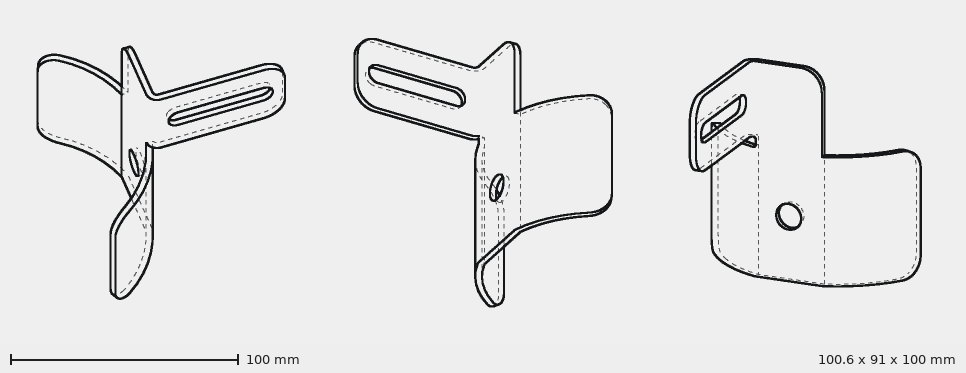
import cadquery as cq
import math

sheet = 3.0
total_height = 100.0
corner_radius = 10.0

plate_half_width = 15.9
hole_diameter = 12.0
hole_height = 30.0

wing_height = 60.0
wing_half_span = 50.3
wing_outer_radius = 55.4
wing_inner_radius = wing_outer_radius - sheet
wing_axis_y = -sheet - math.sqrt(wing_inner_radius**2 - plate_half_width**2)
root_angle = math.acos(plate_half_width / wing_inner_radius)
tip_angle = math.acos(wing_half_span / wing_outer_radius)

flange_reach = 60.0
flange_height = 35.0
bend_inner_radius = 2.0
bend_outer_radius = bend_inner_radius + sheet
slot_length = 48.6
slot_width = 9.1
slot_center_y = flange_reach / 2

flange_bottom = total_height - flange_height
relief_height = flange_bottom - wing_height
relief_radius = 1.2


def wing_point(radius, angle):
    """Point at a polar position about the wing axis."""
    return (radius * math.cos(angle), wing_axis_y + radius * math.sin(angle))


def make_plate():
    upright = (
        cq.Workplane("XY")
        .box(2 * plate_half_width, sheet, total_height, centered=(True, False, False))
        .translate((0, -sheet, 0))
        .edges("|Y and >Z and <X")
        .fillet(corner_radius)
    )
    hole = cq.Workplane("XZ").center(0, hole_height).circle(hole_diameter / 2).extrude(sheet)
    return upright.cut(hole)


def make_curved_sheet(height):
    """Right-hand wing with square corners."""
    mid_angle = (root_angle + tip_angle) / 2
    return (
        cq.Workplane("XY")
        .moveTo(*wing_point(wing_inner_radius, root_angle))
        .threePointArc(wing_point(wing_inner_radius, mid_angle), wing_point(wing_inner_radius, tip_angle))
        .lineTo(*wing_point(wing_outer_radius, tip_angle))
        .threePointArc(wing_point(wing_outer_radius, mid_angle), wing_point(wing_outer_radius, root_angle))
        .lineTo(plate_half_width, 0)
        .close()
        .extrude(height)
    )


def make_wing():
    """Right-hand wing with rounded tip corners."""
    tip_middle = wing_point((wing_inner_radius + wing_outer_radius) / 2, tip_angle)
    lower_corner = cq.selectors.NearestToPointSelector((*tip_middle, 0))
    upper_corner = cq.selectors.NearestToPointSelector((*tip_middle, wing_height))
    return make_curved_sheet(wing_height).edges(lower_corner + upper_corner).fillet(corner_radius)


def make_notch_root():
    """Root strip of the right wing, raised into the notch for the notch rounding."""
    strip = cq.Workplane("XY").box(
        2 * (plate_half_width + relief_radius), 2 * wing_half_span, 2 * total_height
    )
    return make_curved_sheet(wing_height + relief_radius).intersect(strip)


def make_flange():
    """Flange bent back from the plate; its lower end reaches into the notch for the notch rounding."""
    bend_y = bend_inner_radius
    inner_x = plate_half_width + bend_inner_radius
    outer_x = plate_half_width + bend_outer_radius
    diagonal = math.sqrt(0.5)
    inner_mid = (plate_half_width + bend_inner_radius * diagonal, bend_y - bend_inner_radius * diagonal)
    outer_mid = (plate_half_width + bend_outer_radius * diagonal, bend_y - bend_outer_radius * diagonal)
    bend = (
        cq.Workplane("XY", origin=(0, 0, flange_bottom - relief_radius))
        .moveTo(plate_half_width, -sheet)
        .threePointArc(outer_mid, (outer_x, bend_y))
        .lineTo(inner_x, bend_y)
        .threePointArc(inner_mid, (plate_half_width, 0))
        .close()
        .extrude(flange_height + relief_radius)
    )
    leaf = (
        cq.Workplane("XY")
        .box(sheet, flange_reach - bend_y, flange_height, centered=False)
        .translate((inner_x, bend_y, flange_bottom))
        .edges("|X and >Y")
        .fillet(corner_radius)
    )
    slot = (
        cq.Workplane("YZ", origin=(inner_x, slot_center_y, flange_bottom + flange_height / 2))
        .slot2D(slot_length, slot_width)
        .extrude(sheet)
    )
    return bend.union(leaf.cut(slot))


def make_relief():
    """Notch cutter, rounded along its two inner corners."""
    return (
        cq.Workplane("XY")
        .box(wing_half_span, 2 * wing_half_span, relief_height, centered=(False, True, False))
        .translate((plate_half_width, 0, wing_height))
        .edges("|Y and <X")
        .fillet(relief_radius)
    )


right_wing = make_wing()
left_wing = right_wing.mirror("YZ")
bracket = make_plate().union(left_wing).union(right_wing)
bracket = bracket.union(make_notch_root()).union(make_flange())
result = bracket.cut(make_relief())